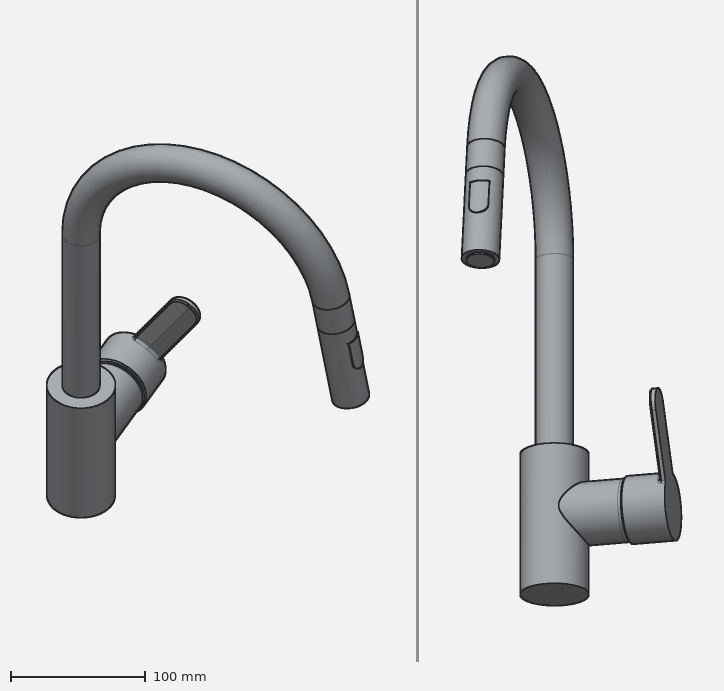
import cadquery as cq
import math

overall_height = 380.8

base_diameter = 51.0
base_height = 110.0
stub_diameter = 47.5
stub_end_round = 2.5
knob_axis_z = 61.3

knob_diameter = 51.0
knob_front_y = 56.7
knob_back_y = 90.5
knob_edge_chamfer = 1.0
lever_angle = 32.0
lever_width = 26.0
lever_reach = 77.3
lever_edge_thickness = 4.0
lever_ridge = 1.0
lever_chamfer = 1.0
lever_root_fillet = 2.3

tube_diameter = 28.0
bend_radius = 104.0
outlet_tilt = 10.0

collar_length = 23.2
head_length = 71.0
aerator_diameter = 21.0
aerator_depth = 7.5
aerator_protrusion = 1.5
button_width = 15.0
button_length = 27.0
button_offset = 12.0
button_protrusion = 0.8
button_depth = 3.8

tolerance = 0.05

tube_radius = tube_diameter / 2
bend_centre_z = overall_height - tube_radius - bend_radius

lever_tilt = math.radians(lever_angle)
lever_axis = cq.Vector(math.sin(lever_tilt), 0, math.cos(lever_tilt))

tilt = math.radians(outlet_tilt)
outlet_origin = cq.Vector(
    bend_radius * (1 + math.cos(tilt)), 0, bend_centre_z + bend_radius * math.sin(tilt)
)
outlet_axis = cq.Vector(math.sin(tilt), 0, -math.cos(tilt))
outlet_side = cq.Vector(math.cos(tilt), 0, math.sin(tilt))


def outlet_plane(distance):
    """Plane square to the outlet axis, at a distance beyond the end of the bend."""
    return cq.Plane(outlet_origin + outlet_axis * distance, xDir=outlet_side, normal=outlet_axis)


def make_base():
    """Column and its horizontal stub as one body, the free rim of the stub rounded."""
    column = cq.Workplane("XY").circle(base_diameter / 2).extrude(base_height)
    stub = (
        cq.Workplane("XZ", origin=(0, 0, knob_axis_z))
        .circle(stub_diameter / 2)
        .extrude(-knob_front_y)
        .faces(">Y")
        .edges()
        .fillet(stub_end_round)
    )
    return column.union(stub)


def make_lever():
    """Round-tipped lever with a ridged front face, running out from the knob axis."""
    plane = cq.Plane((0, knob_back_y, knob_axis_z), xDir=lever_axis.toTuple(), normal=(0, -1, 0))
    half_width = lever_width / 2
    ridge_thickness = lever_edge_thickness + lever_ridge
    outline = (
        cq.Workplane(plane)
        .moveTo(0, -half_width)
        .lineTo(lever_reach, -half_width)
        .threePointArc((lever_reach + half_width, 0), (lever_reach, half_width))
        .lineTo(0, half_width)
        .close()
        .extrude(ridge_thickness)
    )
    section_plane = cq.Plane(plane.origin, xDir=(0, -1, 0), normal=lever_axis.toTuple())
    ridged_bar = (
        cq.Workplane(section_plane)
        .moveTo(0, -half_width)
        .lineTo(lever_edge_thickness, -half_width)
        .lineTo(ridge_thickness, 0)
        .lineTo(lever_edge_thickness, half_width)
        .lineTo(0, half_width)
        .close()
        .extrude(lever_reach + lever_width)
    )
    ridged_plate = outline.intersect(ridged_bar)
    front_rim = "not(|Y or >Y or <Y)"
    return ridged_plate.edges(front_rim).chamfer(lever_chamfer)


def is_lever_root(edge):
    """True for an edge where the lever leaves the cylindrical wall of the knob."""
    lever_front_y = knob_back_y - lever_edge_thickness - lever_ridge
    ends = [edge.startPoint(), edge.endPoint()]
    on_wall = all(
        abs(math.hypot(end.x, end.z - knob_axis_z) - knob_diameter / 2) < tolerance for end in ends
    )
    within_lever = all(end.y > lever_front_y - tolerance for end in ends)
    on_back_face = all(end.y > knob_back_y - tolerance for end in ends)
    return on_wall and within_lever and not on_back_face


def make_control():
    """Knob and lever as one body, blended where the lever leaves the knob."""
    knob = (
        cq.Workplane("XZ", origin=(0, knob_front_y, knob_axis_z))
        .circle(knob_diameter / 2)
        .extrude(knob_front_y - knob_back_y)
        .faces("<Y")
        .edges()
        .chamfer(knob_edge_chamfer)
    )
    control = knob.union(make_lever())
    root_edges = [edge for edge in control.edges().vals() if is_lever_root(edge)]
    return control.newObject(root_edges).fillet(lever_root_fillet)


def make_spout():
    """Round bar: straight riser on top of the base, then one arc over to the outlet."""
    path = (
        cq.Workplane("XZ")
        .moveTo(0, base_height)
        .lineTo(0, bend_centre_z)
        .threePointArc(
            (bend_radius, bend_centre_z + bend_radius), (outlet_origin.x, outlet_origin.z)
        )
    )
    return cq.Workplane("XY", origin=(0, 0, base_height)).circle(tube_radius).sweep(path)


def make_collar():
    """Short length of the outlet between the end of the bend and the spray head."""
    return cq.Workplane(outlet_plane(0)).circle(tube_radius).extrude(collar_length)


def make_aerator():
    """Round insert recessed in the end of the spray head, standing slightly out of it."""
    start = collar_length + head_length - aerator_depth
    return (
        cq.Workplane(outlet_plane(start))
        .circle(aerator_diameter / 2)
        .extrude(aerator_depth + aerator_protrusion)
    )


def make_button():
    """D-shaped button on the outer side of the spray head, its face slightly proud of the head."""
    inner = tube_radius - button_depth
    corner = outlet_origin + outlet_axis * (collar_length + button_offset) + outlet_side * inner
    plane = cq.Plane(corner, xDir=outlet_axis, normal=outlet_side)
    half_width = button_width / 2
    straight = button_length - half_width
    outline = (
        cq.Workplane(plane)
        .moveTo(0, -half_width)
        .lineTo(straight, -half_width)
        .threePointArc((button_length, 0), (straight, half_width))
        .lineTo(0, half_width)
        .close()
        .extrude(button_depth + button_protrusion)
    )
    face_radius = tube_radius + button_protrusion
    curved_face = cq.Workplane(outlet_plane(collar_length)).circle(face_radius).extrude(head_length)
    return outline.intersect(curved_face)


def make_spray_head(aerator, button):
    """Cylinder with matching recesses for the aerator and the button."""
    head = cq.Workplane(outlet_plane(collar_length)).circle(tube_radius).extrude(head_length)
    return head.cut(aerator).cut(button)


base = make_base()
control = make_control()
spout = make_spout()
collar = make_collar()
aerator = make_aerator()
button = make_button()
spray_head = make_spray_head(aerator, button)

result = cq.Compound.makeCompound(
    [
        base.val(),
        control.val(),
        spout.val(),
        collar.val(),
        spray_head.val(),
        aerator.val(),
        button.val(),
    ]
)